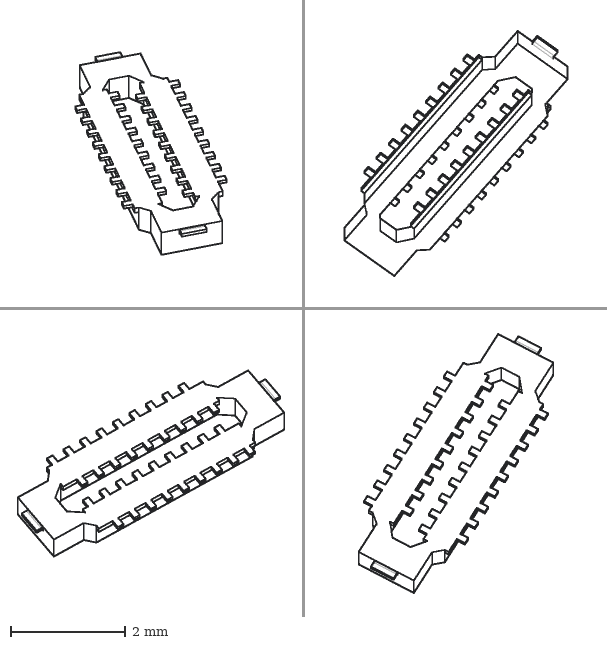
import cadquery as cq

TOTAL_LENGTH = 5.18
TOTAL_WIDTH = 1.94
HEIGHT = 0.5

END_HALF_LENGTH = 2.45
END_HALF_WIDTH = 0.56
SHOULDER_X = 1.815
RAIL_HALF_LENGTH = 1.665
RAIL_OUTER_Y = 0.73

WINDOW_HALF_LENGTH = 1.91
WINDOW_END_HALF_WIDTH = 0.18
WINDOW_HALF_WIDTH = 0.38

FLANGE_OVERHANG = 0.08
FLANGE_THICKNESS = 0.105
FLANGE_INNER_Y = WINDOW_HALF_WIDTH - FLANGE_OVERHANG
FLANGE_OUTER_Y = RAIL_OUTER_Y + FLANGE_OVERHANG

PIN_COUNT = 9
PIN_ROW_SPAN = 2.795
PIN_PITCH = PIN_ROW_SPAN / (PIN_COUNT - 1)
PIN_WIDTH = 0.12
SHEET_THICKNESS = 0.06
PIN_LENGTH = TOTAL_WIDTH / 2 - FLANGE_OUTER_Y
ROW_SHIFT = PIN_PITCH / 4

TAB_WIDTH = 0.46
TAB_BEND_RADIUS = 0.04


def mirrored_outline(quarter):
    """Close an outline from its +X +Y quarter, listed from the +X end to the middle."""
    upper_left = [(-x, y) for x, y in reversed(quarter)]
    lower_left = [(-x, -y) for x, y in quarter]
    lower_right = [(x, -y) for x, y in reversed(quarter)]
    return cq.Workplane("XY").polyline(quarter + upper_left + lower_left + lower_right).close()


def top_plate(x_min, x_max, y_min, y_max, thickness):
    """Rectangular plate whose upper side is flush with the top face."""
    return (
        cq.Workplane("XY")
        .box(x_max - x_min, y_max - y_min, thickness, centered=False)
        .translate((x_min, y_min, HEIGHT - thickness))
    )


def make_frame():
    outside = [
        (END_HALF_LENGTH, END_HALF_WIDTH),
        (SHOULDER_X, END_HALF_WIDTH),
        (RAIL_HALF_LENGTH, RAIL_OUTER_Y),
    ]
    window = [
        (WINDOW_HALF_LENGTH, WINDOW_END_HALF_WIDTH),
        (RAIL_HALF_LENGTH, WINDOW_HALF_WIDTH),
    ]
    return mirrored_outline(outside).extrude(HEIGHT).cut(mirrored_outline(window).extrude(HEIGHT))


def make_flange():
    """Flange on the +Y rail."""
    return top_plate(-RAIL_HALF_LENGTH, RAIL_HALF_LENGTH, FLANGE_INNER_Y, FLANGE_OUTER_Y, FLANGE_THICKNESS)


def make_pin_row(center_x, y_min, y_max):
    """Row of pins, which run across the flange between the two given Y positions."""
    row = cq.Workplane("XY")
    for index in range(PIN_COUNT):
        x = center_x + index * PIN_PITCH - PIN_ROW_SPAN / 2
        row = row.add(top_plate(x - PIN_WIDTH / 2, x + PIN_WIDTH / 2, y_min, y_max, SHEET_THICKNESS))
    return row.combine()


def make_tab():
    """Tab on the +X end: the bend's inner arc meets the end face tangentially."""
    tip_x = TOTAL_LENGTH / 2
    bend_x = END_HALF_LENGTH + TAB_BEND_RADIUS
    bend_z = HEIGHT - SHEET_THICKNESS - TAB_BEND_RADIUS
    outer_radius = TAB_BEND_RADIUS + SHEET_THICKNESS
    return (
        cq.Workplane("XZ")
        .moveTo(tip_x, HEIGHT)
        .lineTo(bend_x, HEIGHT)
        .radiusArc((bend_x - outer_radius, bend_z), -outer_radius)
        .lineTo(END_HALF_LENGTH, bend_z)
        .radiusArc((bend_x, HEIGHT - SHEET_THICKNESS), TAB_BEND_RADIUS)
        .lineTo(tip_x, HEIGHT - SHEET_THICKNESS)
        .close()
        .extrude(TAB_WIDTH / 2, both=True)
    )


flange = make_flange()
tab = make_tab()
rail_mid_y = (FLANGE_INNER_Y + FLANGE_OUTER_Y) / 2
pin_reach = FLANGE_OUTER_Y - rail_mid_y + PIN_LENGTH

result = make_frame()
result = result.union(flange).union(flange.mirror("XZ"))
result = result.union(tab).union(tab.mirror("YZ"))

for rail_y in (rail_mid_y, -rail_mid_y):
    result = result.union(make_pin_row(-ROW_SHIFT, rail_y, rail_y + pin_reach))
    result = result.union(make_pin_row(ROW_SHIFT, rail_y - pin_reach, rail_y))